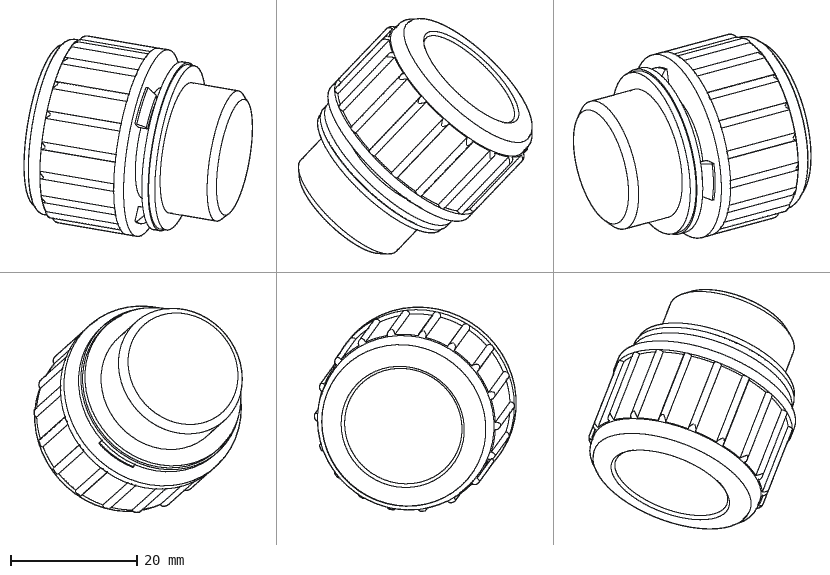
import cadquery as cq

LENGTH = 31.0

FRONT_RING_DIA = 26.4
SECOND_RING_START = 1.0
FRONT_RING_ROUND = 0.9
SECOND_RING_DIA = 28.2
SECOND_RING_ROUND = 1.0

RECESS_DIA = 19.85
RECESS_FLOOR_DIA = 18.9
RECESS_DEPTH = 0.5

GRIP_START = 3.2
GRIP_END = 15.75
GRIP_DIA = 28.6
GRIP_ROUND = 1.0
RIB_COUNT = 18
RIB_DIA = 1.25

FLANGE_DIA = 30.0
FLANGE_END = 17.4

NECK_DIA = 17.85
LARGE_DISC_DIA = 27.0
LARGE_DISC_START = 19.93
SMALL_DISC_DIA = 26.4
SMALL_DISC_START = 21.0
BARREL_DIA = 20.95
BARREL_START = 22.0
BARREL_CHAMFER = 1.18

TAB_COUNT = 3
TAB_INNER_RADIUS = 10.45
TAB_OUTER_RADIUS = 12.9
TAB_TIP_RADIUS = 11.4
TAB_BEVEL_START = 17.7
TAB_END = 18.95
TAB_ANGLE = 30.0


def cylinder(diameter, start, end):
    """Cylinder along X between two X positions."""
    return cq.Workplane("YZ").workplane(offset=start).circle(diameter / 2).extrude(end - start)


def rounded_cylinder(diameter, start, end, rounding):
    """Cylinder along X with its front rim rounded."""
    return cylinder(diameter, start, end).faces("<X").edges().fillet(rounding)


def make_head():
    """Two rounded front rings with the conical recess cut into the face."""
    front_ring = rounded_cylinder(FRONT_RING_DIA, 0, GRIP_START, FRONT_RING_ROUND)
    second_ring = rounded_cylinder(SECOND_RING_DIA, SECOND_RING_START, GRIP_END, SECOND_RING_ROUND)
    recess = (
        cq.Workplane("YZ")
        .circle(RECESS_DIA / 2)
        .workplane(offset=RECESS_DEPTH)
        .circle(RECESS_FLOOR_DIA / 2)
        .loft()
    )
    return front_ring.union(second_ring).cut(recess)


def make_grip():
    """Sleeve with half-round ribs whose front ends follow a rounded rim."""
    sleeve = cylinder(GRIP_DIA, GRIP_START, GRIP_END)
    ribs = (
        cq.Workplane("YZ")
        .workplane(offset=GRIP_START)
        .polarArray((FLANGE_DIA - RIB_DIA) / 2, 0, 360, RIB_COUNT)
        .circle(RIB_DIA / 2)
        .extrude(GRIP_END - GRIP_START)
    )
    envelope = rounded_cylinder(FLANGE_DIA, GRIP_START, GRIP_END, GRIP_ROUND)
    return sleeve.union(ribs).intersect(envelope)


def make_rear():
    """Flange, neck, the pair of stop discs and the chamfered barrel."""
    flange = cylinder(FLANGE_DIA, GRIP_END, FLANGE_END)
    neck = cylinder(NECK_DIA, FLANGE_END, LARGE_DISC_START)
    large_disc = cylinder(LARGE_DISC_DIA, LARGE_DISC_START, SMALL_DISC_START)
    small_disc = cylinder(SMALL_DISC_DIA, SMALL_DISC_START, BARREL_START)
    barrel = cylinder(BARREL_DIA, BARREL_START, LENGTH).faces(">X").edges().chamfer(BARREL_CHAMFER)
    return flange.union(neck).union(large_disc).union(small_disc).union(barrel)


def make_tabs():
    """Bevelled ring segments, evenly spaced, with one centred on +Y."""
    segment = (
        cq.Workplane("XY")
        .moveTo(GRIP_END, TAB_INNER_RADIUS)
        .lineTo(GRIP_END, TAB_OUTER_RADIUS)
        .lineTo(TAB_BEVEL_START, TAB_OUTER_RADIUS)
        .lineTo(TAB_END, TAB_TIP_RADIUS)
        .lineTo(TAB_END, TAB_INNER_RADIUS)
        .close()
        .revolve(TAB_ANGLE, (0, 0, 0), (1, 0, 0))
        .rotate((0, 0, 0), (1, 0, 0), -TAB_ANGLE / 2)
    )
    tabs = segment
    for index in range(1, TAB_COUNT):
        tabs = tabs.union(segment.rotate((0, 0, 0), (1, 0, 0), index * 360 / TAB_COUNT))
    return tabs


result = make_head().union(make_grip()).union(make_rear()).union(make_tabs())